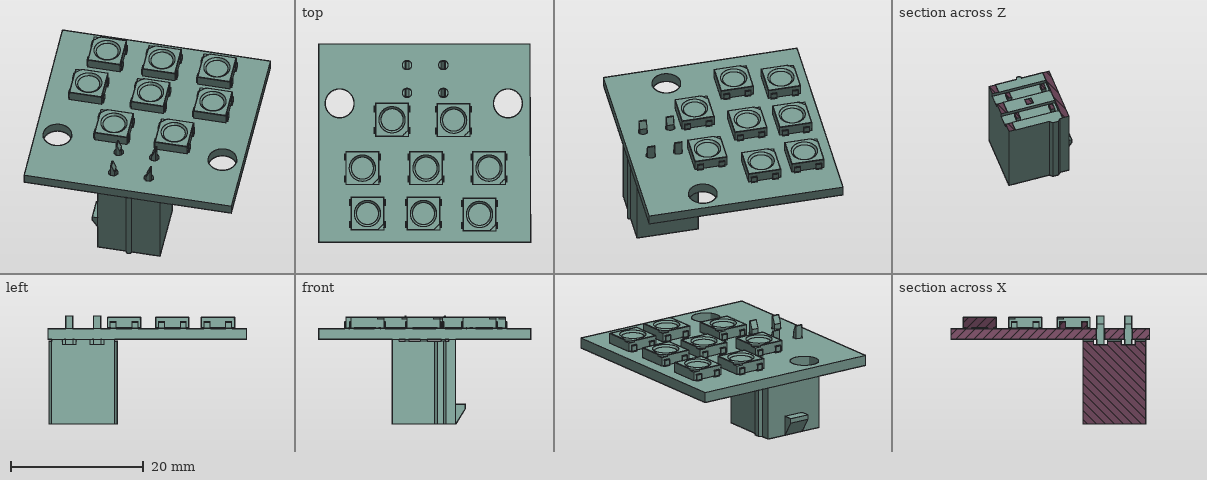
import cadquery as cq


BOARD_FRONT_WIDTH = 31.95
BOARD_BACK_WIDTH = 31.82
BOARD_DEPTH = 29.9
BOARD_THICKNESS = 1.6
MOUNT_HOLE_DIAMETER = 4.3
MOUNT_HOLE_CENTRES = [(3.15, 20.93), (28.5, 20.93)]

CONNECTOR_X = 15.85
CONNECTOR_Y = 24.6
PINS_X = 16.05
PIN_ROW_SPACING = 5.45
PIN_PITCH = 4.2
PIN_THICKNESS = 0.65
PIN_WIDTH = 1.12
PIN_RISE = 1.92
PIN_TIP_THICKNESS = 0.15
PIN_BEVEL_DROP = 1.2
PIN_HOLE_DIAMETER = 1.4

HOUSING_SIZE_X = 9.6
HOUSING_SIZE_Y = 9.45
HOUSING_HEIGHT = 12.78
SIDE_WALL = 1.05
CHANNEL_DEPTH = 0.25
POST_WIDTH = 1.05
NOTCH_WIDTH = 2.08
NOTCH_DEPTH = 0.8
RIB_HEIGHT = 0.4
BACK_RIB_RADIUS = 0.4
RIB_CREST = 0.9
RIB_X = 18.35
LATCH_REACH = 1.47
LATCH_HEIGHT = 3.05
LATCH_TIP_HEIGHT = 0.7
LATCH_WIDTH = 3.2

LED_CENTRES = [
    (11.05, 18.47),
    (20.32, 18.4),
    (6.58, 11.18),
    (16.17, 11.18),
    (25.65, 11.18),
    (7.35, 4.35),
    (15.78, 4.35),
    (24.22, 4.22),
]
LED_SIZE = 5.0
LED_TOP = 1.73
LED_STANDOFF = 0.13
LED_TOP_CHAMFER = 0.05
DISH_TOP_DIAMETER = 3.95
DISH_FLOOR_DIAMETER = 3.32
DISH_DEPTH = 0.3
CORNER_LEG = 1.0
CORNER_DEPTH = 0.25
LEAD_REACH = 0.22
LEAD_THICKNESS = LED_STANDOFF
LEAD_HEIGHT = 1.05
LEAD_WIDTH = 0.9
LEAD_PITCH = 3.3
LEAD_FOOT = 0.48
LEAD_BEND_RADIUS = 0.13

pin_centres = [
    (PINS_X + side * PIN_ROW_SPACING / 2, CONNECTOR_Y + end * PIN_PITCH / 2)
    for side in (-1, 1)
    for end in (-1, 1)
]


def block(x_min, x_max, y_min, y_max, z_min, z_max):
    """Box given by its limits along each axis."""
    size = (x_max - x_min, y_max - y_min, z_max - z_min)
    return cq.Workplane("XY").box(*size, centered=False).translate((x_min, y_min, z_min))


def round_holes(centres, diameter):
    """Cutters for round holes through the board."""
    return cq.Workplane("XY").pushPoints(centres).circle(diameter / 2).extrude(BOARD_THICKNESS)


def make_board():
    outline = [
        (0, 0),
        (BOARD_FRONT_WIDTH, 0),
        (BOARD_BACK_WIDTH, BOARD_DEPTH),
        (0, BOARD_DEPTH),
    ]
    plate = cq.Workplane("XY").polyline(outline).close().extrude(BOARD_THICKNESS)
    mount_holes = round_holes(MOUNT_HOLE_CENTRES, MOUNT_HOLE_DIAMETER)
    pin_holes = round_holes(pin_centres, PIN_HOLE_DIAMETER)
    return plate.cut(mount_holes).cut(pin_holes)


def make_pin(x, y):
    """Flat pin rising through the board, its tip bevelled towards the other pin row."""
    top = BOARD_THICKNESS + PIN_RISE
    outward = 1 if x > PINS_X else -1
    x_outer = x + outward * PIN_THICKNESS / 2
    x_inner = x - outward * PIN_THICKNESS / 2
    profile = [
        (x_outer, -NOTCH_DEPTH),
        (x_outer, top),
        (x_outer - outward * PIN_TIP_THICKNESS, top),
        (x_inner, top - PIN_BEVEL_DROP),
        (x_inner, -NOTCH_DEPTH),
    ]
    return cq.Workplane("XZ", origin=(0, y + PIN_WIDTH / 2, 0)).polyline(profile).close().extrude(PIN_WIDTH)


def make_connector():
    x_min = CONNECTOR_X - HOUSING_SIZE_X / 2
    x_max = CONNECTOR_X + HOUSING_SIZE_X / 2
    y_min = CONNECTOR_Y - HOUSING_SIZE_Y / 2
    y_max = CONNECTOR_Y + HOUSING_SIZE_Y / 2
    bottom = -HOUSING_HEIGHT
    rib_length = HOUSING_HEIGHT - CHANNEL_DEPTH
    connector = block(x_min, x_max, y_min, y_max, bottom, 0)

    channel = block(x_min + SIDE_WALL, x_max - SIDE_WALL, y_min, y_max, -CHANNEL_DEPTH, 0)
    post_centre = cq.Workplane("XY").center(CONNECTOR_X, CONNECTOR_Y)
    post = post_centre.rect(POST_WIDTH, POST_WIDTH).extrude(-CHANNEL_DEPTH)
    connector = connector.cut(channel.cut(post))

    notch_end = x_max - SIDE_WALL
    for end in (-1, 1):
        notch_y = CONNECTOR_Y + end * PIN_PITCH / 2
        notch = block(x_min, notch_end, notch_y - NOTCH_WIDTH / 2, notch_y + NOTCH_WIDTH / 2, -NOTCH_DEPTH, 0)
        connector = connector.cut(notch)

    rib_root = RIB_CREST + 2 * RIB_HEIGHT
    rib_outline = [
        (RIB_X - rib_root / 2, y_min),
        (RIB_X - RIB_CREST / 2, y_min - RIB_HEIGHT),
        (RIB_X + RIB_CREST / 2, y_min - RIB_HEIGHT),
        (RIB_X + rib_root / 2, y_min),
    ]
    front_rib = (
        cq.Workplane("XY", origin=(0, 0, bottom)).polyline(rib_outline).close().extrude(rib_length)
    )

    back_rib = (
        cq.Workplane("XY", origin=(CONNECTOR_X, y_max, bottom)).circle(BACK_RIB_RADIUS).extrude(rib_length)
    )

    latch_top = bottom + LATCH_HEIGHT
    latch_outline = [
        (x_max, bottom),
        (x_max + LATCH_REACH, latch_top - LATCH_TIP_HEIGHT),
        (x_max + LATCH_REACH, latch_top),
        (x_max, latch_top),
    ]
    latch = (
        cq.Workplane("XZ", origin=(0, CONNECTOR_Y + LATCH_WIDTH / 2, 0))
        .polyline(latch_outline)
        .close()
        .extrude(LATCH_WIDTH)
    )
    connector = connector.union(front_rib).union(back_rib).union(latch)

    for x, y in pin_centres:
        connector = connector.union(make_pin(x, y))
    return connector


def make_left_lead(y):
    """Bent lead that leaves the LED's left side, drops to the board and turns in under the LED."""
    side = -LED_SIZE / 2
    outer = side - LEAD_REACH
    y_min = y - LEAD_WIDTH / 2
    y_max = y + LEAD_WIDTH / 2
    lead = block(outer, side + LEAD_FOOT, y_min, y_max, 0, LEAD_HEIGHT)
    lead = lead.edges("|Y and <X").fillet(LEAD_BEND_RADIUS)
    gap = block(
        outer + LEAD_THICKNESS, side, y_min, y_max, LEAD_THICKNESS, LEAD_HEIGHT - LEAD_THICKNESS
    )
    return lead.cut(gap)


def make_led():
    """LED centred on the Z axis, standing on Z = 0."""
    half = LED_SIZE / 2
    led = block(-half, half, -half, half, LED_STANDOFF, LED_TOP)
    led = led.edges(">Z").chamfer(LED_TOP_CHAMFER)

    dish = (
        cq.Workplane("XY", origin=(0, 0, LED_TOP))
        .circle(DISH_TOP_DIAMETER / 2)
        .workplane(offset=-DISH_DEPTH)
        .circle(DISH_FLOOR_DIAMETER / 2)
        .loft()
    )

    corner = (
        cq.Workplane("XY", origin=(0, 0, LED_TOP))
        .polyline([(half - CORNER_LEG, -half), (half, -half), (half, -half + CORNER_LEG)])
        .close()
        .extrude(-CORNER_DEPTH)
    )
    led = led.cut(dish).cut(corner)

    for end in (-1, 1):
        left_lead = make_left_lead(end * LEAD_PITCH / 2)
        led = led.union(left_lead).union(left_lead.mirror("YZ"))
    return led


board = make_board()
connector = make_connector()
led = make_led()
leds = [led.val().translate(cq.Vector(x, y, BOARD_THICKNESS)) for x, y in LED_CENTRES]

result = cq.Compound.makeCompound([board.val(), connector.val(), *leds])